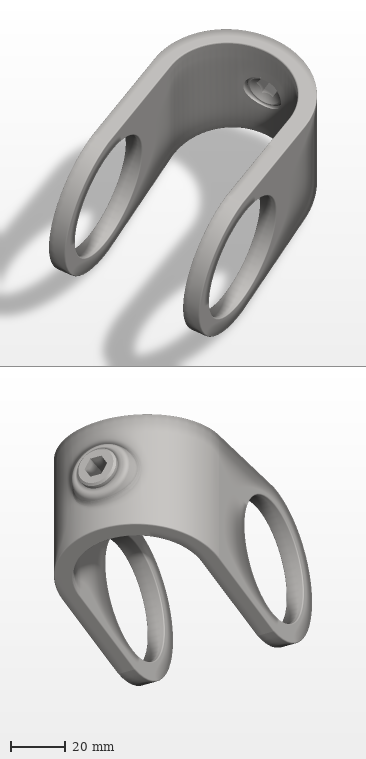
import cadquery as cq
import math

overall_length = 115.7
width = 64.0
outer_radius = width / 2
wall = 7.0
inner_radius = outer_radius - wall
bend_y = 46.0
apex_y = bend_y + outer_radius
apex_half_height = 24.1
eye_radius = 24.5
edge_round = 0.5

boss_top_y = 81.1
boss_base_radius = 13.7
boss_depth_in_wall = 3.5
boss_base_y = apex_y - boss_depth_in_wall
boss_draft = 20.0
boss_round = 2.1
boss_fillet = 1.7

screw_end_y = overall_length - outer_radius
screw_radius = 8.0
screw_chamfer = 0.8
screw_recess = 0.6
screw_tip_y = bend_y + inner_radius + screw_recess
cup_radius = 6.5
hex_across_flats = 8.0
hex_across_corners = hex_across_flats / math.cos(math.pi / 6)
cup_depth = cup_radius - hex_across_flats / 2


def along_y(y):
    """Workplane facing +Y at the given height; local x is +X."""
    return cq.Workplane(cq.Plane(origin=(0, y, 0), xDir=(1, 0, 0), normal=(0, 1, 0)))


def make_strap():
    """U-shaped bar cut to the tapered side outline, with its long edges rounded."""
    u_bar = (
        cq.Workplane("XY", origin=(0, 0, -outer_radius))
        .moveTo(-outer_radius, -outer_radius)
        .lineTo(-outer_radius, bend_y)
        .threePointArc((0, apex_y), (outer_radius, bend_y))
        .lineTo(outer_radius, -outer_radius)
        .lineTo(inner_radius, -outer_radius)
        .lineTo(inner_radius, bend_y)
        .threePointArc((0, bend_y + inner_radius), (-inner_radius, bend_y))
        .lineTo(-inner_radius, -outer_radius)
        .close()
        .extrude(2 * outer_radius)
    )
    side_outline = (
        cq.Workplane("YZ", origin=(-outer_radius, 0, 0))
        .moveTo(0, outer_radius)
        .lineTo(apex_y, apex_half_height)
        .lineTo(apex_y, -apex_half_height)
        .lineTo(0, -outer_radius)
        .threePointArc((-outer_radius, 0), (0, outer_radius))
        .close()
        .extrude(2 * outer_radius)
    )
    eyes = cq.Workplane("YZ").circle(eye_radius).extrude(outer_radius, both=True)
    return u_bar.intersect(side_outline).cut(eyes).edges("not #X").fillet(edge_round)


def add_boss(strap):
    """Drafted round boss, rounded at the top and filleted into the bend."""
    height = boss_top_y - boss_base_y
    boss = along_y(boss_base_y).circle(boss_base_radius).extrude(height, taper=boss_draft)
    boss = boss.faces(">Y").edges().fillet(boss_round)
    clevis = strap.union(boss)
    footprint = cq.selectors.BoxSelector(
        (-boss_base_radius, boss_base_y, -boss_base_radius),
        (boss_base_radius, (apex_y + boss_top_y) / 2, boss_base_radius),
        boundingbox=True,
    )
    return clevis.edges(footprint).fillet(boss_fillet)


def make_screw():
    """Set screw with a conical cup in its tip and a hexagon socket right through."""
    screw = along_y(screw_tip_y).circle(screw_radius).extrude(screw_end_y - screw_tip_y)
    screw = screw.faces("<Y or >Y").edges().chamfer(screw_chamfer)
    cup = cq.Workplane(
        cq.Solid.makeCone(
            cup_radius, cup_radius - cup_depth, cup_depth,
            pnt=cq.Vector(0, screw_tip_y, 0), dir=cq.Vector(0, 1, 0),
        )
    )
    socket = along_y(screw_tip_y).polygon(6, hex_across_corners).extrude(screw_end_y - screw_tip_y)
    return screw.cut(cup).cut(socket)


def add_screw_hole(clevis):
    """Plain hole for the screw, through the bend and the boss."""
    hole = along_y(bend_y).circle(screw_radius).extrude(screw_end_y - bend_y)
    return clevis.cut(hole)


clevis = add_screw_hole(add_boss(make_strap()))
screw = make_screw()
result = cq.Compound.makeCompound([clevis.val(), screw.val()])